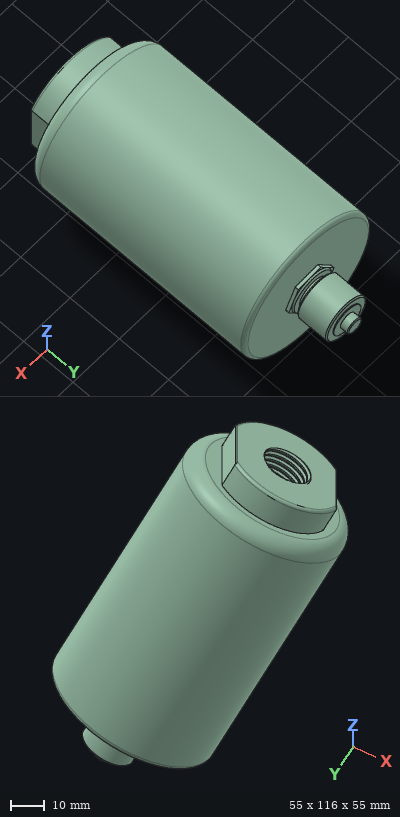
import cadquery as cq
import math


barrel_diameter = 55.0
barrel_length = 88.0
barrel_front_radius = 5.0
barrel_back_radius = 1.5
hub_diameter = 40.0
hub_length = 8.9
hub_width = 33.9
hub_rim_radius = 0.9
hub_flat_edge_length = 0.6
hub_flat_chamfer = 0.3
barrel_end = hub_length + barrel_length

port_diameter = 15.0
port_depth = 11.6
thread_pitch = 1.9
thread_start_angle = 220
thread_height = 0.8
thread_overlap = 0.1
thread_root_width = 0.2
thread_mouth_width = 1.5

hex_width = 16.9
hex_height = 1.3
hex_corner_angle = -5.1
collar_height = 0.7
collar_taper = 0.3
neck_diameter = 11.7
nut_diameter = 17.3
nut_start = 100.5
nut_end = 112.5
nut_back_chamfer = 0.5
nut_front_chamfer = 0.6
neck_end = 112.9
pin_diameter = 6.0
pin_end = 116.0
pin_chamfer = 0.3


def cylinder(diameter, start, end):
    """Solid cylinder along Y between two stations."""
    plane = cq.Workplane("XZ", origin=(0, start, 0))
    return plane.circle(diameter / 2).extrude(start - end)


def make_barrel():
    barrel = cylinder(barrel_diameter, hub_length, barrel_end)
    barrel = barrel.faces("<Y").edges().fillet(barrel_front_radius)
    return barrel.faces(">Y").edges().fillet(barrel_back_radius)


def make_hub():
    """Round hub with two wrench flats and a bevelled front edges."""
    hub = cylinder(hub_diameter, 0, hub_length)
    hub = hub.faces("<Y").edges().fillet(hub_rim_radius)
    half_width = hub_width / 2
    face_half_width = half_width - hub_flat_chamfer
    flats = (
        cq.Workplane("XY")
        .moveTo(-face_half_width, 0)
        .lineTo(face_half_width, 0)
        .lineTo(half_width, hub_flat_edge_length)
        .lineTo(half_width, hub_length)
        .lineTo(-half_width, hub_length)
        .lineTo(-half_width, hub_flat_edge_length)
        .close()
        .extrude(hub_diameter, both=True)
    )
    return hub.intersect(flats)


def make_thread_groove():
    """Helical V groove that runs out through the mouth of the port."""
    groove_start = -thread_pitch / 2
    inner_radius = port_diameter / 2 - thread_overlap
    outer_radius = port_diameter / 2 + thread_height
    helix = cq.Wire.makeHelix(
        thread_pitch,
        port_depth - thread_pitch,
        port_diameter / 2,
        center=cq.Vector(0, groove_start, 0),
        dir=cq.Vector(0, 1, 0),
    )
    first = helix.startPoint()
    radial = cq.Vector(first.x, 0, first.z)
    plane = cq.Plane(
        origin=(0, groove_start, 0), xDir=radial, normal=radial.cross(cq.Vector(0, 1, 0))
    )
    profile = cq.Workplane(plane).polyline([
        (inner_radius, -thread_mouth_width / 2),
        (outer_radius, -thread_root_width / 2),
        (outer_radius, thread_root_width / 2),
        (inner_radius, thread_mouth_width / 2),
    ]).close()
    groove = profile.sweep(cq.Workplane(helix), isFrenet=True)
    return groove.rotate((0, 0, 0), (0, 1, 0), thread_start_angle)


def make_housing():
    housing = make_barrel().union(make_hub())
    housing = housing.cut(cylinder(port_diameter, 0, port_depth))
    return housing.cut(make_thread_groove())


def make_hexagon():
    """Hexagon flange topped by a tapered round collar."""
    corner_diameter = hex_width / math.cos(math.pi / 6)
    hexagon = (
        cq.Workplane("XZ", origin=(0, barrel_end, 0))
        .transformed(rotate=(0, 0, hex_corner_angle))
        .polygon(6, corner_diameter)
        .extrude(-hex_height)
    )
    collar = cylinder(hex_width, barrel_end, barrel_end + hex_height + collar_height)
    return hexagon.union(collar.faces(">Y").chamfer(collar_height, collar_taper))


def make_connector():
    nut = cylinder(nut_diameter, nut_start, nut_end)
    nut = nut.faces("<Y").chamfer(nut_front_chamfer).faces(">Y").chamfer(nut_back_chamfer)
    neck = cylinder(neck_diameter, barrel_end, neck_end)
    pin = cylinder(pin_diameter, barrel_end, pin_end).faces(">Y").chamfer(pin_chamfer)
    return make_hexagon().union(neck).union(nut).union(pin)


housing = make_housing()
connector = make_connector()
result = cq.Compound.makeCompound([housing.val(), connector.val()])